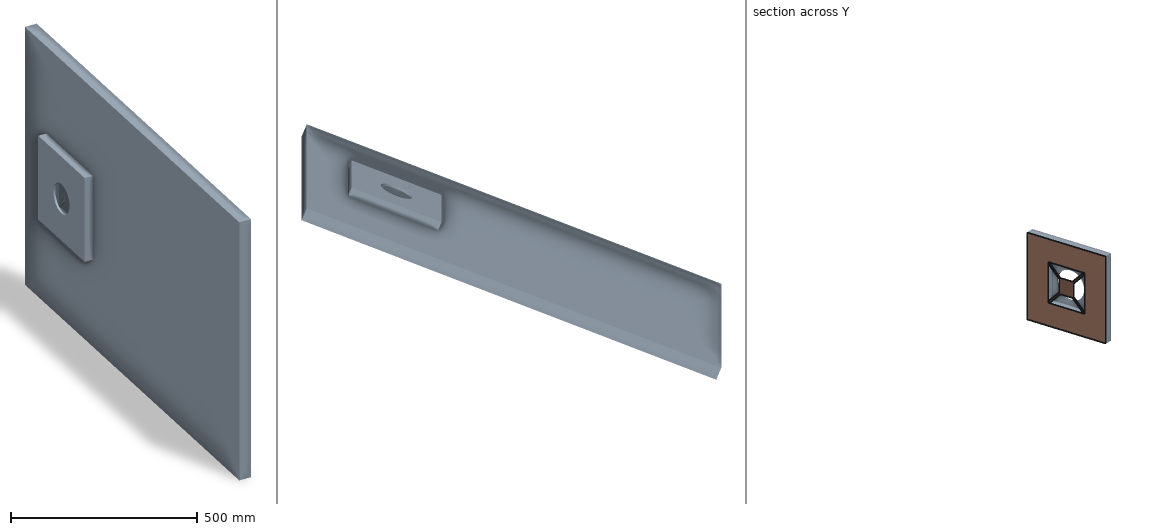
import cadquery as cq
import math

panel_width = 1200.0
panel_height = 800.0
panel_thickness = 36.0

cover_side = 260.0
cover_depth = 25.0
cover_front_wall = 6.0
cavity_side = 120.0
cover_margin = 120.0
cover_hole_diameter = 90.0

hub_side = 50.0
arm_width = 7.0
spider_thickness = 3.0

cover_x = cover_margin + cover_side / 2
cover_z = panel_height / 2
cavity_depth = cover_depth - cover_front_wall

arm_span = cavity_side * math.sqrt(2) - arm_width


def slab(center_x, center_z, front_y, width, depth, height):
    """Box centred in X and Z that runs from front_y towards +Y."""
    box = cq.Workplane("XY").box(width, depth, height, centered=(True, False, True))
    return box.translate((center_x, front_y, center_z))


def make_panel():
    return slab(panel_width / 2, panel_height / 2, 0, panel_width, panel_thickness, panel_height)


def make_cover():
    block = slab(cover_x, cover_z, -cover_depth, cover_side, cover_depth, cover_side)
    cavity = slab(cover_x, cover_z, -cavity_depth, cavity_side, cavity_depth, cavity_side)
    front_hole = (
        cq.Workplane("XZ", origin=(cover_x, 0, cover_z))
        .circle(cover_hole_diameter / 2)
        .extrude(cover_depth)
    )
    return block.cut(cavity).cut(front_hole)


def make_spider():
    spider = slab(cover_x, cover_z, -spider_thickness, hub_side, spider_thickness, hub_side)
    axis_start = (cover_x, 0, cover_z)
    axis_end = (cover_x, 1, cover_z)
    for angle in (45, -45):
        arms = slab(cover_x, cover_z, -spider_thickness, arm_span, spider_thickness, arm_width)
        spider = spider.union(arms.rotate(axis_start, axis_end, angle))
    return spider


panel = make_panel()
cover = make_cover()
spider = make_spider()

result = cq.Compound.makeCompound([panel.val(), cover.val(), spider.val()])